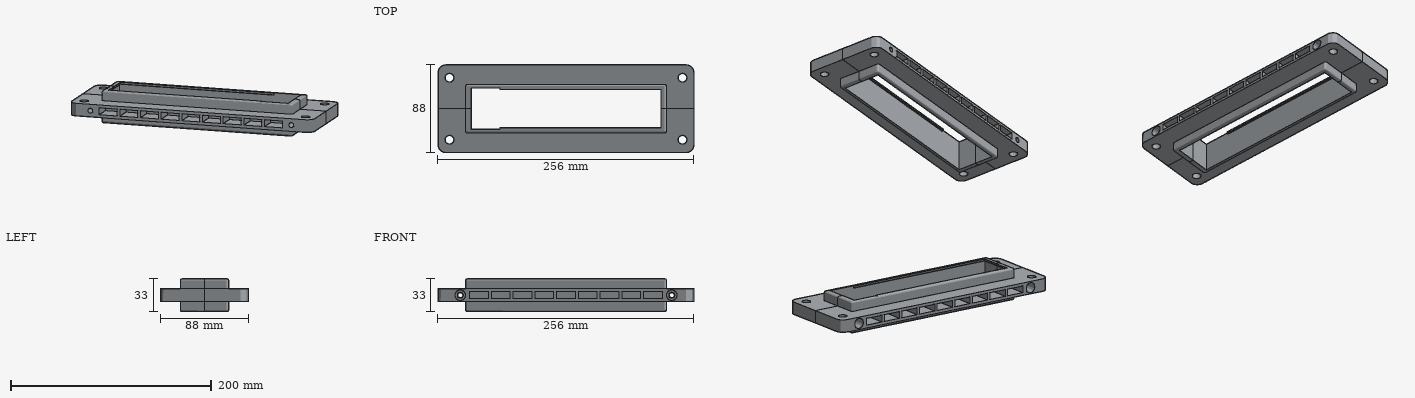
import cadquery as cq

FLANGE_LENGTH = 256.0
FLANGE_WIDTH = 88.0
FLANGE_THICKNESS = 13.0
FLANGE_CORNER_RADIUS = 8.0

COLLAR_LENGTH = 201.0
COLLAR_WIDTH = 48.5
COLLAR_HEIGHT = 33.0
COLLAR_EDGE_RADIUS = 2.0

WINDOW_LENGTH = 189.5
WINDOW_WIDTH = 41.0
LIP_OVERHANG = 1.5
LIP_THICKNESS = 2.0
LIP_GAP_LENGTH = 28.5

MOUNT_HOLE_DIAMETER = 8.5
MOUNT_HOLE_SPACING_X = 233.0
MOUNT_HOLE_SPACING_Y = 62.0

BOLT_SPACING = 211.5
CLEARANCE_HOLE_DIAMETER = 6.0
THREAD_HOLE_DIAMETER = 5.0
COUNTERBORE_DIAMETER = 10.5
COUNTERBORE_DEPTH = 20.0

POCKET_COUNT = 9
POCKET_LENGTH = 18.75
POCKET_RIB = 3.0
POCKET_PITCH = POCKET_LENGTH + POCKET_RIB
POCKET_HEIGHT = 7.0
POCKET_DEPTH = (FLANGE_WIDTH - COLLAR_WIDTH) / 2

FRONT = -1
BACK = 1


def flange():
    plate = cq.Workplane("XY").box(FLANGE_LENGTH, FLANGE_WIDTH, FLANGE_THICKNESS)
    return plate.edges("|Z").fillet(FLANGE_CORNER_RADIUS)


def collar():
    block = cq.Workplane("XY").box(COLLAR_LENGTH, COLLAR_WIDTH, COLLAR_HEIGHT)
    return block.edges().fillet(COLLAR_EDGE_RADIUS)


def window():
    """Opening through the collar, narrowed at the top where the lip overhangs it."""
    recess_length = WINDOW_LENGTH + LIP_OVERHANG
    recess = cq.Workplane("XY").box(recess_length, WINDOW_WIDTH, COLLAR_HEIGHT)
    return recess.translate((LIP_OVERHANG / 2, 0, 0)).cut(lip())


def lip():
    """U-shaped ledge at the top of the window: both long walls and the +X end."""
    start_x = LIP_GAP_LENGTH - WINDOW_LENGTH / 2
    clear_length = WINDOW_LENGTH - LIP_GAP_LENGTH
    clear_width = WINDOW_WIDTH - 2 * LIP_OVERHANG
    plane = cq.Workplane("XY", origin=(start_x, 0, COLLAR_HEIGHT / 2 - LIP_THICKNESS))
    from_start = (False, True, False)
    ledge = plane.box(clear_length + LIP_OVERHANG, WINDOW_WIDTH, LIP_THICKNESS, centered=from_start)
    return ledge.cut(plane.box(clear_length, clear_width, LIP_THICKNESS, centered=from_start))


def mounting_holes():
    pins = cq.Workplane("XY").rect(MOUNT_HOLE_SPACING_X, MOUNT_HOLE_SPACING_Y, forConstruction=True)
    return pins.vertices().circle(MOUNT_HOLE_DIAMETER / 2).extrude(FLANGE_THICKNESS / 2, both=True)


def bolt_bores(diameter, start_y, end_y):
    """Pair of cylinders along +Y at the two bolt positions."""
    plane = cq.Workplane("XZ", origin=(0, start_y, 0))
    bores = plane.pushPoints([(-BOLT_SPACING / 2, 0), (BOLT_SPACING / 2, 0)])
    return bores.circle(diameter / 2).extrude(start_y - end_y)


def edge_pockets(side):
    center_y = side * (FLANGE_WIDTH - POCKET_DEPTH) / 2
    row = cq.Workplane("XY", origin=(0, center_y, 0)).rarray(POCKET_PITCH, 1, POCKET_COUNT, 1)
    return row.rect(POCKET_LENGTH, POCKET_DEPTH).extrude(POCKET_HEIGHT / 2, both=True)


def half_frame(side):
    """The flange, collar and window on one side of the parting plane at y = 0."""
    half_space = cq.Workplane("XY").box(FLANGE_LENGTH, FLANGE_WIDTH / 2, COLLAR_HEIGHT)
    half_space = half_space.translate((0, side * FLANGE_WIDTH / 4, 0))
    frame = flange().union(collar()).cut(window()).cut(mounting_holes())
    return frame.intersect(half_space).cut(edge_pockets(side))


def front_half():
    """Half that takes the bolt heads: clearance holes with counterbores."""
    outer_y = -FLANGE_WIDTH / 2
    half = half_frame(FRONT)
    half = half.cut(bolt_bores(CLEARANCE_HOLE_DIAMETER, outer_y, 0))
    return half.cut(bolt_bores(COUNTERBORE_DIAMETER, outer_y, outer_y + COUNTERBORE_DEPTH))


def back_half():
    """Half that takes the bolt threads: plain holes right through."""
    return half_frame(BACK).cut(bolt_bores(THREAD_HOLE_DIAMETER, 0, FLANGE_WIDTH / 2))


front = front_half().solids()
back = back_half().solids()
result = cq.Compound.makeCompound([front.val(), back.val()])